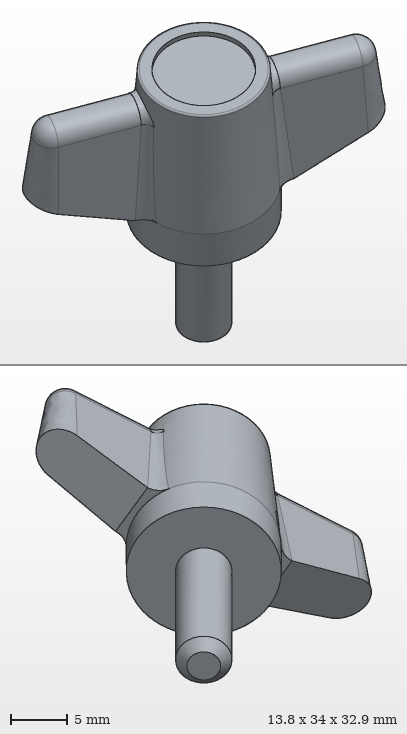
import cadquery as cq
import math

stud_diameter = 5.0
stud_length = 15.0
stud_chamfer = 1.0

collar_diameter = 13.75
collar_height = 4.0
hub_height = 17.9
body_base_radius = collar_diameter / 2
body_top_radius = 5.9
rim_fillet = 0.2
recess_diameter = 9.19
recess_depth = 0.5

wing_span = 34.0
wing_top = 16.45
crest_radius = 1.8
side_draft = math.radians(5.0)
tip_center_y = 14.4
tip_low_z = 8.05

flare_radius_low = 2.0
flare_radius_high = 1.05
cap_stations = 5

crest_axis_z = wing_top - crest_radius
shoulder_z = crest_axis_z + crest_radius * math.sin(side_draft)
shoulder_half_width = crest_radius * math.cos(side_draft)


def wing_half_width(z):
    return shoulder_half_width + (shoulder_z - z) * math.tan(side_draft)


def body_radius(z):
    fraction = (z - collar_height) / (hub_height - collar_height)
    return body_base_radius + fraction * (body_top_radius - body_base_radius)


def flare_center(z, radius):
    """Centre of the arc that touches both the wing side and the body at height z."""
    x = wing_half_width(z) + radius
    y = math.sqrt((body_radius(z) + radius) ** 2 - x ** 2)
    return x, y


def make_hub():
    collar = cq.Workplane("XY").circle(collar_diameter / 2).extrude(collar_height)
    body = (
        cq.Workplane("XY").workplane(offset=collar_height).circle(body_base_radius)
        .workplane(offset=hub_height - collar_height).circle(body_top_radius)
        .loft(ruled=True)
        .faces(">Z").edges().fillet(rim_fillet)
    )
    return collar.union(body)


def make_stud():
    return (
        cq.Workplane("XY").circle(stud_diameter / 2).extrude(-stud_length)
        .faces("<Z").edges().chamfer(stud_chamfer)
    )


def blade_outline(z, tip_y):
    """Plan outline at height z: straight sides from the hub axis and a round tip."""
    half_width = wing_half_width(z)
    center_y = tip_y - half_width
    return (
        cq.Workplane("XY").workplane(offset=z)
        .moveTo(-half_width, 0)
        .lineTo(-half_width, center_y)
        .threePointArc((0, tip_y), (half_width, center_y))
        .lineTo(half_width, 0)
        .close().val()
    )


def make_blade():
    tip_high_y = tip_center_y + shoulder_half_width
    tip_slope = (wing_span / 2 - tip_high_y) / (shoulder_z - tip_low_z)
    tip_base_y = tip_high_y + tip_slope * (shoulder_z - collar_height)
    sides = cq.Workplane(cq.Solid.makeLoft(
        [blade_outline(collar_height, tip_base_y), blade_outline(shoulder_z, tip_high_y)], True
    ))
    crest = (
        cq.Workplane("XZ").center(0, crest_axis_z).circle(crest_radius).extrude(-tip_center_y)
    )
    ball = cq.Workplane("XY").sphere(crest_radius).translate((0, tip_center_y, crest_axis_z))
    return sides.union(crest).union(ball)


def flare_outline(z, radius):
    """Plan outline at height z of the flare, closed by a chord inside the body."""
    half_width = wing_half_width(z)
    x, y = flare_center(z, radius)
    on_body = body_radius(z) / (body_radius(z) + radius)
    mid_angle = math.atan2(y, x) / 2
    mid_x = x - radius * math.cos(mid_angle)
    mid_y = y - radius * math.sin(mid_angle)
    return (
        cq.Workplane("XY").workplane(offset=z)
        .moveTo(-x * on_body, y * on_body)
        .threePointArc((-mid_x, mid_y), (-half_width, y))
        .lineTo(half_width, y)
        .threePointArc((mid_x, mid_y), (x * on_body, y * on_body))
        .close().val()
    )


def cap_outline(angle):
    """Half-ellipse across the crest, at an angle along the upper flare arc."""
    x, y = flare_center(shoulder_z, flare_radius_high)
    half_width = x - flare_radius_high * math.cos(angle)
    station_y = y - flare_radius_high * math.sin(angle)
    return (
        cq.Workplane("XZ", origin=(0, station_y, shoulder_z))
        .moveTo(half_width, 0)
        .ellipseArc(half_width, wing_top - shoulder_z, 0, 180, startAtCurrent=True)
        .close().val()
    )


def make_flare():
    sides = cq.Workplane(cq.Solid.makeLoft(
        [flare_outline(collar_height, flare_radius_low), flare_outline(shoulder_z, flare_radius_high)],
        True,
    ))
    x, y = flare_center(shoulder_z, flare_radius_high)
    end_angle = math.atan2(y, x)
    angles = [end_angle * i / (cap_stations - 1) for i in range(cap_stations)]
    cap = cq.Workplane(cq.Solid.makeLoft([cap_outline(angle) for angle in angles]))
    return sides.union(cap)


def make_underside_cut():
    """Wedge below the underside, which slopes up from the flare to the wing tip."""
    start_y = flare_center(collar_height, flare_radius_low)[1]
    slope = (tip_low_z - collar_height) / (wing_span / 2 - start_y)
    end_y = wing_span
    end_z = collar_height + slope * (end_y - start_y)
    return (
        cq.Workplane("YZ")
        .polyline([(start_y, collar_height), (end_y, collar_height), (end_y, end_z)]).close()
        .extrude(collar_diameter / 2, both=True)
    )


def make_recess():
    return (
        cq.Workplane("XY").workplane(offset=hub_height)
        .circle(recess_diameter / 2).extrude(-recess_depth)
    )


wing = make_blade().union(make_flare()).cut(make_underside_cut())
opposite_wing = wing.rotate((0, 0, 0), (0, 0, 1), 180)

result = make_hub().union(make_stud()).union(wing).union(opposite_wing).cut(make_recess())